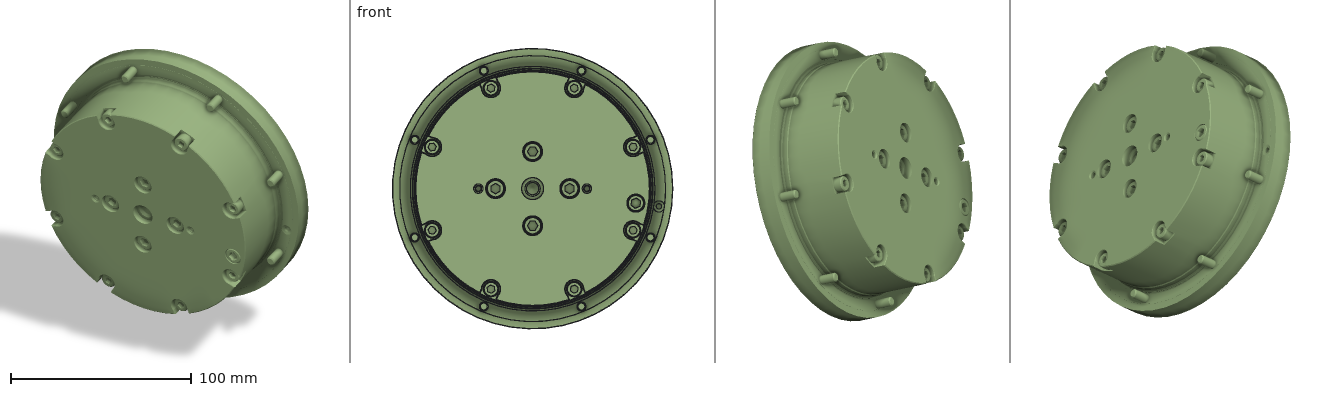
import cadquery as cq
import math

LENGTH = 49.9
FLANGE_REAR_Y = -0.4
FLANGE_FRONT_Y = -12.0
GROOVE_FLOOR_Y = -11.7
LIP_FRONT_Y = FLANGE_FRONT_Y
COLLAR_FRONT_Y = -15.5
FRONT_Y = -LENGTH
AXIS = cq.Vector(0, 1, 0)

FLANGE_DIAMETER = 155.0
LAND_DIAMETER = 147.0
LAND_STEP = 0.1
GROOVE_OUTER_DIAMETER = 135.2
LIP_DIAMETER = 133.2
LIP_LAND_WIDTH = 0.4
COLLAR_DIAMETER = 131.0
BODY_DIAMETER = 130.0
REAR_DISC_DIAMETER = 129.8
EDGE_CHAMFER = 0.5

PIN_COUNT = 8
PIN_DIAMETER = 5.0
PIN_LENGTH = 10.0
PIN_CHAMFER = 0.6
PIN_EMBEDDED_LENGTH = 1.0
PIN_CIRCLE_RADIUS = 70.5
PATTERN_START_ANGLE = 22.5

HEAD_CHAMFER = 0.5
HEX_SIDES = 6
QUARTER_TURN = 90.0

RIM_SCREW_COUNT = 8
RIM_SCREW_RADIUS = 60.1
RIM_BORE_DIAMETER = 10.0
RIM_SLOT_WIDTH = 9.4
RIM_SLOT_DEPTH = 7.0
RIM_SLOT_CHAMFER = 0.3
RIM_HEAD_DIAMETER = 8.5
RIM_HEAD_HEIGHT = 5.0
RIM_HEX_WIDTH = 4.0
RIM_HEX_DEPTH = 2.5

CENTRE_SCREW_COUNT = 4
CENTRE_SCREW_RADIUS = 20.5
CENTRE_BORE_DIAMETER = 11.0
CENTRE_BORE_DEPTH = 8.0
CENTRE_HEAD_DIAMETER = 10.0
CENTRE_HEAD_HEIGHT = 6.0
CENTRE_HEX_WIDTH = 5.0
CENTRE_HEX_DEPTH = 3.0

CENTRE_HOLE_DIAMETER = 12.2
CENTRE_HOLE_DEPTH = 4.0
INNER_HOLE_ENTRY_DIAMETER = 8.5
INNER_HOLE_DIAMETER = 6.8
INNER_HOLE_DEPTH = 6.0
DRILL_POINT_ANGLE = 118.0

DOWEL_HOLE_OFFSET = 30.0
DOWEL_ENTRY_DIAMETER = 5.2
DOWEL_SINK_DEPTH = 0.5
DOWEL_STEP_DIAMETER = 3.69
DOWEL_STEP_DEPTH = 1.0
DOWEL_BORE_DIAMETER = 3.0
DOWEL_BORE_DEPTH = 6.0

PORT_ANGLE = -8.0
PLUG_RADIUS = 57.6
PLUG_BORE_DIAMETER = 10.0
PLUG_DIAMETER = 9.4
PLUG_BORE_DEPTH = 5.5
PLUG_HEX_WIDTH = 5.0
PLUG_HEX_DEPTH = 4.5
FLANGE_HOLE_RADIUS = 70.5
FLANGE_HOLE_DIAMETER = 3.0
FLANGE_SINK_DIAMETER = 6.2
FLANGE_SINK_DEPTH = 0.6
FLANGE_HOLE_DEPTH = 6.0


def polar(radius, angle):
    """Point (x, z) at a polar position around the part axis."""
    return (radius * math.cos(math.radians(angle)), radius * math.sin(math.radians(angle)))


def circle_angles(count, start):
    return [start + index * 360.0 / count for index in range(count)]


def rod(position, diameter, front_y, length):
    """Cylinder parallel to Y whose front end is at front_y, reaching back by length."""
    x, z = position
    base = cq.Vector(x, front_y, z)
    return cq.Workplane(cq.Solid.makeCylinder(diameter / 2, length, base, AXIS))


def cone(position, front_diameter, rear_diameter, front_y, length):
    """Truncated cone parallel to Y whose front end is at front_y, reaching back by length."""
    x, z = position
    base = cq.Vector(x, front_y, z)
    return cq.Workplane(cq.Solid.makeCone(front_diameter / 2, rear_diameter / 2, length, base, AXIS))


def screw_head(position, diameter, top_y, height):
    return rod(position, diameter, top_y, height).faces("<Y").chamfer(HEAD_CHAMFER)


def hex_socket(position, width, front_y, depth, corner_angle):
    """Hexagonal prism cutter with one corner pointing along corner_angle."""
    x, z = position
    corner_diameter = width / math.cos(math.pi / HEX_SIDES)
    prism = cq.Workplane("XZ").polygon(HEX_SIDES, corner_diameter).extrude(-depth)
    return prism.rotate((0, 0, 0), (0, 1, 0), -corner_angle).translate((x, front_y, z))


def make_turned_body():
    flange = FLANGE_DIAMETER / 2
    body = BODY_DIAMETER / 2
    lip_inner = LIP_DIAMETER / 2 - LIP_LAND_WIDTH
    collar = COLLAR_DIAMETER / 2
    profile = [
        (0, 0),
        (REAR_DISC_DIAMETER / 2, 0),
        (REAR_DISC_DIAMETER / 2, FLANGE_REAR_Y),
        (flange - EDGE_CHAMFER, FLANGE_REAR_Y),
        (flange, FLANGE_REAR_Y - EDGE_CHAMFER),
        (flange, FLANGE_FRONT_Y),
        (LAND_DIAMETER / 2, FLANGE_FRONT_Y),
        (LAND_DIAMETER / 2, FLANGE_FRONT_Y - LAND_STEP),
        (GROOVE_OUTER_DIAMETER / 2, FLANGE_FRONT_Y - LAND_STEP),
        (GROOVE_OUTER_DIAMETER / 2, GROOVE_FLOOR_Y),
        (LIP_DIAMETER / 2, GROOVE_FLOOR_Y),
        (LIP_DIAMETER / 2, LIP_FRONT_Y),
        (lip_inner, LIP_FRONT_Y),
        (collar, LIP_FRONT_Y - (lip_inner - collar)),
        (collar, COLLAR_FRONT_Y),
        (body, COLLAR_FRONT_Y - (collar - body)),
        (body, FRONT_Y + EDGE_CHAMFER),
        (body - EDGE_CHAMFER, FRONT_Y),
        (0, FRONT_Y),
    ]
    return cq.Workplane("XY").polyline(profile).close().revolve(360, (0, 0, 0), (0, 1, 0))


def add_flange_pins(part):
    tip_y = FLANGE_FRONT_Y - PIN_LENGTH
    for angle in circle_angles(PIN_COUNT, PATTERN_START_ANGLE):
        place = polar(PIN_CIRCLE_RADIUS, angle)
        pin = rod(place, PIN_DIAMETER, tip_y, PIN_LENGTH + PIN_EMBEDDED_LENGTH)
        part = part.union(pin.faces("<Y").chamfer(PIN_CHAMFER))
    return part


def rim_slot_cutter(angle):
    """Round bore with a neck that opens radially outward, chamfered along the front edge."""
    place = polar(RIM_SCREW_RADIUS, angle)
    floor_y = FRONT_Y + RIM_SLOT_DEPTH
    chamfer_y = FRONT_Y + RIM_SLOT_CHAMFER
    half_width = RIM_SLOT_WIDTH / 2
    half_mouth = half_width + RIM_SLOT_CHAMFER
    section = [
        (floor_y, -half_width),
        (chamfer_y, -half_width),
        (FRONT_Y, -half_mouth),
        (FRONT_Y, half_mouth),
        (chamfer_y, half_width),
        (floor_y, half_width),
    ]
    neck = cq.Workplane("YZ").workplane(offset=RIM_SCREW_RADIUS).polyline(section).close()
    neck = neck.extrude(BODY_DIAMETER / 2 - RIM_SCREW_RADIUS).rotate((0, 0, 0), (0, 1, 0), -angle)
    bore = rod(place, RIM_BORE_DIAMETER, FRONT_Y, RIM_SLOT_DEPTH)
    mouth_diameter = RIM_BORE_DIAMETER + 2 * RIM_SLOT_CHAMFER
    mouth = cone(place, mouth_diameter, RIM_BORE_DIAMETER, FRONT_Y, RIM_SLOT_CHAMFER)
    return neck.union(bore).union(mouth)


def add_rim_screws(part):
    head_top_y = FRONT_Y + RIM_SLOT_DEPTH - RIM_HEAD_HEIGHT
    for angle in circle_angles(RIM_SCREW_COUNT, PATTERN_START_ANGLE):
        place = polar(RIM_SCREW_RADIUS, angle)
        head = screw_head(place, RIM_HEAD_DIAMETER, head_top_y, RIM_HEAD_HEIGHT)
        socket = hex_socket(place, RIM_HEX_WIDTH, head_top_y, RIM_HEX_DEPTH, angle + QUARTER_TURN)
        part = part.cut(rim_slot_cutter(angle)).union(head).cut(socket)
    return part


def add_centre_screws(part):
    floor_y = FRONT_Y + CENTRE_BORE_DEPTH
    head_top_y = floor_y - CENTRE_HEAD_HEIGHT
    for angle in circle_angles(CENTRE_SCREW_COUNT, 0):
        place = polar(CENTRE_SCREW_RADIUS, angle)
        part = part.cut(rod(place, CENTRE_BORE_DIAMETER, FRONT_Y, CENTRE_BORE_DEPTH))
        head = screw_head(place, CENTRE_HEAD_DIAMETER, head_top_y, CENTRE_HEAD_HEIGHT)
        socket = hex_socket(place, CENTRE_HEX_WIDTH, head_top_y, CENTRE_HEX_DEPTH, angle + QUARTER_TURN)
        part = part.union(head).cut(socket)
    return part


def cut_centre_hole(part):
    axis = (0, 0)
    point_length = INNER_HOLE_DIAMETER / 2 / math.tan(math.radians(DRILL_POINT_ANGLE / 2))
    part = part.cut(rod(axis, CENTRE_HOLE_DIAMETER, FRONT_Y, CENTRE_HOLE_DEPTH))
    entry_depth = (INNER_HOLE_ENTRY_DIAMETER - INNER_HOLE_DIAMETER) / 2
    ledge_y = FRONT_Y + CENTRE_HOLE_DEPTH
    part = part.cut(cone(axis, INNER_HOLE_ENTRY_DIAMETER, INNER_HOLE_DIAMETER, ledge_y, entry_depth))
    part = part.cut(rod(axis, INNER_HOLE_DIAMETER, FRONT_Y, INNER_HOLE_DEPTH))
    return part.cut(cone(axis, INNER_HOLE_DIAMETER, 0, FRONT_Y + INNER_HOLE_DEPTH, point_length))


def cut_dowel_holes(part):
    for x in (-DOWEL_HOLE_OFFSET, DOWEL_HOLE_OFFSET):
        part = part.cut(cone((x, 0), DOWEL_ENTRY_DIAMETER, DOWEL_STEP_DIAMETER, FRONT_Y, DOWEL_SINK_DEPTH))
        part = part.cut(rod((x, 0), DOWEL_STEP_DIAMETER, FRONT_Y, DOWEL_STEP_DEPTH))
        part = part.cut(rod((x, 0), DOWEL_BORE_DIAMETER, FRONT_Y, DOWEL_BORE_DEPTH))
    return part


def cut_plug(part):
    place = polar(PLUG_RADIUS, PORT_ANGLE)
    part = part.cut(rod(place, PLUG_BORE_DIAMETER, FRONT_Y, PLUG_BORE_DEPTH))
    part = part.union(screw_head(place, PLUG_DIAMETER, FRONT_Y, PLUG_BORE_DEPTH))
    return part.cut(hex_socket(place, PLUG_HEX_WIDTH, FRONT_Y, PLUG_HEX_DEPTH, PORT_ANGLE + QUARTER_TURN))


def cut_flange_hole(part):
    place = polar(FLANGE_HOLE_RADIUS, PORT_ANGLE)
    face_y = FLANGE_FRONT_Y - LAND_STEP
    part = part.cut(cone(place, FLANGE_SINK_DIAMETER, FLANGE_HOLE_DIAMETER, face_y, FLANGE_SINK_DEPTH))
    return part.cut(rod(place, FLANGE_HOLE_DIAMETER, face_y, FLANGE_HOLE_DEPTH))


part = make_turned_body()
part = add_flange_pins(part)
part = add_rim_screws(part)
part = add_centre_screws(part)
part = cut_centre_hole(part)
part = cut_dowel_holes(part)
part = cut_plug(part)
result = cut_flange_hole(part)